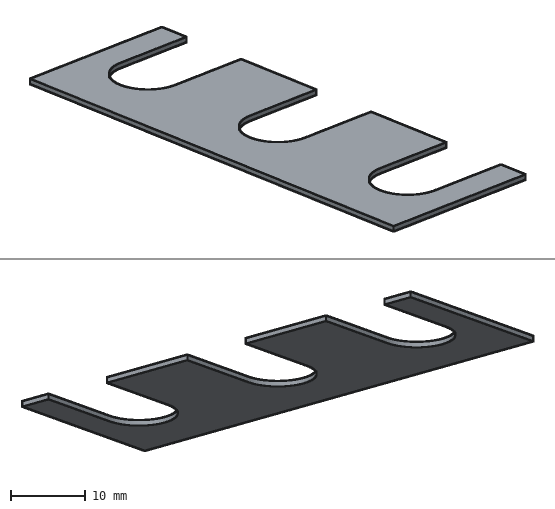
import cadquery as cq

plate_length = 70.0
plate_width = 25.0
plate_thickness = 0.81

slot_count = 3
slot_pitch = 25.0
slot_width = 10.5
slot_end_y = 0.0


def make_plate():
    """Plain rectangular plate, centred in X and Y, resting on Z = 0."""
    return cq.Workplane("XY").box(
        plate_length, plate_width, plate_thickness, centered=(True, True, False)
    )


def make_slot(center_x):
    """Cutter for one slot: a straight channel from the +Y edge with a half-round end."""
    radius = slot_width / 2
    edge_y = plate_width / 2
    return (
        cq.Workplane("XY")
        .moveTo(center_x - radius, edge_y)
        .lineTo(center_x - radius, slot_end_y)
        .threePointArc((center_x, slot_end_y - radius), (center_x + radius, slot_end_y))
        .lineTo(center_x + radius, edge_y)
        .close()
        .extrude(plate_thickness)
    )


result = make_plate()
for index in range(slot_count):
    slot_x = (index - (slot_count - 1) / 2) * slot_pitch
    result = result.cut(make_slot(slot_x))